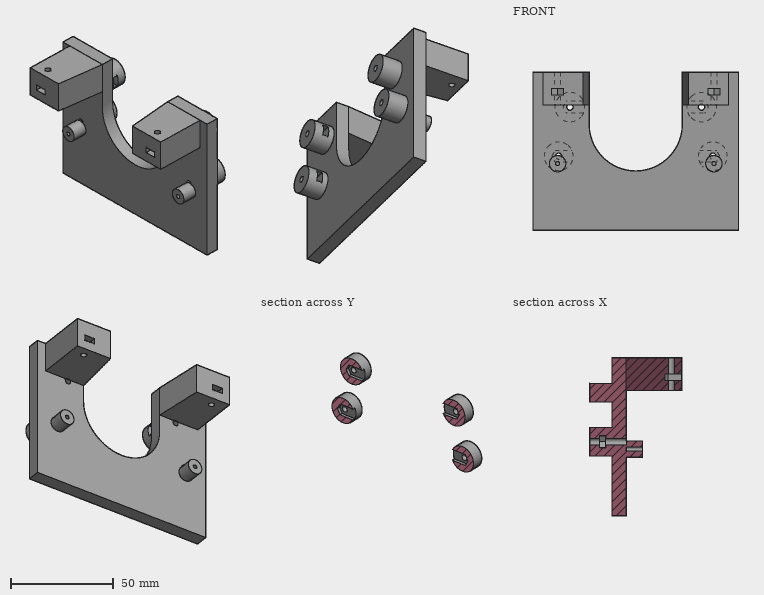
import cadquery as cq
import math


plate_width = 100
plate_height = 77
plate_thickness = 7
cutout_width = 45.2
cutout_depth = 48
cutout_radius = cutout_width / 2
cutout_center_z = plate_height - cutout_depth + cutout_radius

screw_hole_diameter = 3
nut_across_flats = 5.8
nut_slot_thickness = 3
nut_across_corners = nut_across_flats / math.cos(math.pi / 6)

upper_boss_diameter = 14.4
lower_boss_diameter = 14
boss_length = 10.8
boss_nut_gap = 3
upper_boss_x = 32
upper_boss_z = 60
lower_boss_x = 37.5
lower_boss_z = 36.1
bosses = [
    (upper_boss_x, upper_boss_z, upper_boss_diameter),
    (lower_boss_x, lower_boss_z, lower_boss_diameter),
]

pin_diameter = 8
pin_length = 8
pin_hole_diameter = 2
pin_x = 38
pin_z = 32.5

block_length = 27
block_height = 16
block_edge_gap = 4.8
block_outer_x = plate_width / 2 - block_edge_gap
block_root_x = cutout_radius
block_tip_x = 25.6
block_hole_tip_distance = 5
block_nut_top_gap = 8
block_bottom_z = plate_height - block_height
block_hole_y = block_hole_tip_distance - block_length

boss_end_y = plate_thickness + boss_length
boss_nut_y = plate_thickness + boss_nut_gap
block_nut_z = plate_height - block_nut_top_gap - nut_slot_thickness


def cylinder_along_y(x, z, diameter, start_y, end_y):
    """Cylinder parallel to Y between two Y positions."""
    return cq.Workplane(cq.Solid.makeCylinder(
        diameter / 2, end_y - start_y, cq.Vector(x, start_y, z), cq.Vector(0, 1, 0)))


def nut_pocket(reach):
    """Hexagonal pocket about Z at the origin, from Z = 0 up, open to -X over the given reach."""
    hexagon = cq.Workplane("XY").polygon(6, nut_across_corners).extrude(nut_slot_thickness)
    entry = cq.Workplane("XY").box(
        reach, nut_across_flats, nut_slot_thickness, centered=(False, True, False)
    ).translate((-reach, 0, 0))
    return hexagon.union(entry)


def make_plate():
    """Plate with its cutout, bosses, pins and screw holes."""
    body = cq.Workplane("XY").box(
        plate_width, plate_thickness, plate_height, centered=(True, False, False))
    cutout = cq.Workplane("XY").box(
        cutout_width, plate_thickness, plate_height - cutout_center_z, centered=(True, False, False)
    ).translate((0, 0, cutout_center_z))
    cutout = cutout.union(cylinder_along_y(0, cutout_center_z, cutout_width, 0, plate_thickness))
    body = body.cut(cutout)

    for side in (-1, 1):
        for x, z, diameter in bosses:
            body = body.union(cylinder_along_y(side * x, z, diameter, plate_thickness, boss_end_y))

    boss_pocket = nut_pocket(upper_boss_diameter).rotate((0, 0, 0), (1, 0, 0), -90)
    for side in (-1, 1):
        turn = 90 * (side - 1)
        pocket = boss_pocket.rotate((0, 0, 0), (0, 1, 0), turn)
        for x, z, _ in bosses:
            body = body.cut(cylinder_along_y(side * x, z, screw_hole_diameter, 0, boss_end_y))
            body = body.cut(pocket.translate((side * x, boss_nut_y, z)))

    for side in (-1, 1):
        body = body.union(cylinder_along_y(side * pin_x, pin_z, pin_diameter, -pin_length, 0))
        body = body.cut(cylinder_along_y(side * pin_x, pin_z, pin_hole_diameter, -pin_length, 0))
    return body


def make_block(side):
    """Tapered block on one side of the cutout, with a vertical screw hole and a nut pocket."""
    outline = [
        (side * block_outer_x, 0),
        (side * block_root_x, 0),
        (side * block_tip_x, -block_length),
        (side * block_outer_x, -block_length),
    ]
    block = cq.Workplane("XY").polyline(outline).close().extrude(block_height)
    block = block.translate((0, 0, block_bottom_z))
    screw_hole = cq.Workplane("XY").circle(screw_hole_diameter / 2).extrude(block_height)
    block = block.cut(screw_hole.translate((side * pin_x, block_hole_y, block_bottom_z)))
    pocket = nut_pocket(block_hole_tip_distance).rotate((0, 0, 0), (0, 0, 1), 90)
    return block.cut(pocket.translate((side * pin_x, block_hole_y, block_nut_z)))


plate = make_plate()
blocks = [make_block(side) for side in (-1, 1)]

result = cq.Compound.makeCompound([plate.val(), *[block.val() for block in blocks]])